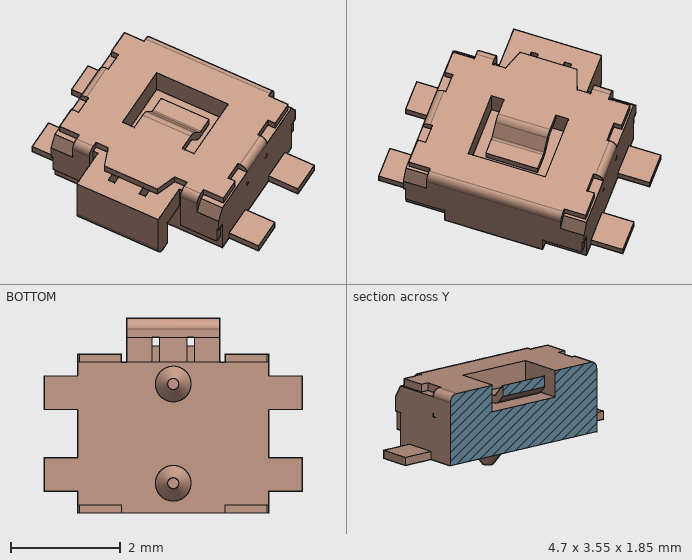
import cadquery as cq
import math


LENGTH = 4.7
BODY_WIDTH = 3.48
DEPTH = 2.895
TOP = 1.35
SHEET = 0.145

BODY_TOP = TOP - SHEET
HALF_WIDTH = BODY_WIDTH / 2
HALF_DEPTH = DEPTH / 2
CORE_HALF_DEPTH = HALF_DEPTH - SHEET

CORNER_INNER_X = 1.292
CORNER_BOTTOM = 0.695
CORNER_CHAMFER_BOTTOM = 0.965

COVER_HALF_WIDTH = 1.7
COVER_BACK_Y = 1.245
COVER_FRONT_Y = -1.2
SIDE_TAB_HALF = 0.375
SIDE_TAB_BOTTOM = 0.822
SIDE_TAB_RADIUS = 0.065
SIDE_RELIEF_HALF = 0.75
SIDE_RELIEF_X = 1.55
END_TAB_INNER_X = 0.945
END_TAB_BOTTOM = 0.345
LIP_ROOT_HALF = 0.69
LIP_TIP_HALF = 0.55
LIP_TIP_Y = -1.6

WINDOW_HALF = 0.743
WINDOW_BACK_Y = 0.725
WINDOW_FRONT_Y = -0.565
POCKET_FLOOR = 0.845
TONGUE_HALF = 0.5
TONGUE_BEND_Y = -0.245
TONGUE_TIP_Y = 0.445
TONGUE_ANGLE = math.radians(48)
TONGUE_OUTER_RADIUS = 0.197
TONGUE_LOWER_RADIUS = 0.065
TONGUE_SLOPE_RUN = 0.19

BUTTON_WIDTH = 1.69
BUTTON_FRONT_Y = -2.1
BUTTON_LEG_Y = -1.75
BUTTON_BOTTOM = 0.1
BUTTON_RADIUS = 0.2
SLOT_X = 0.32
SLOT_WIDTH = 0.13

LEAD_WIDTH = 0.615
LEAD_THICKNESS = 0.155
LEAD_Y = 0.743
PEG_DIAMETER = 0.65
PEG_TIP_DIAMETER = 0.2
PEG_STRAIGHT = 0.2
PEG_LENGTH = 0.505
PEG_Y = 0.902


def block(x0, x1, y0, y1, z0, z1):
    """Box between two opposite corners."""
    return cq.Workplane("XY").box(x1 - x0, y1 - y0, z1 - z0, centered=False).translate((x0, y0, z0))


def turn(solid, angle):
    """Rotate about the vertical axis."""
    return solid.rotate((0, 0, 0), (0, 0, 1), angle)


def extrude_along_x(profile, x0, x1):
    """Extrude a YZ profile, drawn at X = 0, from x0 to x1."""
    return profile.extrude(x1 - x0).translate((x0, 0, 0))


def folded_flap(outer, bottom, x0, x1):
    """Cover sheet folded down over the +Y wall, rounded along the fold."""
    inner = outer - SHEET
    profile = (
        cq.Workplane("YZ")
        .moveTo(inner, bottom)
        .lineTo(outer, bottom)
        .lineTo(outer, BODY_TOP)
        .radiusArc((inner, TOP), -SHEET)
        .close()
    )
    return extrude_along_x(profile, x0, x1)


def make_body():
    core = block(-HALF_WIDTH, HALF_WIDTH, -CORE_HALF_DEPTH, CORE_HALF_DEPTH, 0, BODY_TOP)
    corner_profile = (
        cq.Workplane("YZ")
        .polyline([
            (-HALF_DEPTH, CORNER_BOTTOM),
            (HALF_DEPTH, CORNER_BOTTOM),
            (HALF_DEPTH, CORNER_CHAMFER_BOTTOM),
            (CORE_HALF_DEPTH, BODY_TOP),
            (-CORE_HALF_DEPTH, BODY_TOP),
            (-HALF_DEPTH, CORNER_CHAMFER_BOTTOM),
        ])
        .close()
    )
    corners = extrude_along_x(corner_profile, CORNER_INNER_X, HALF_WIDTH)
    body = core.union(corners).union(turn(corners, 180))

    pocket = block(-WINDOW_HALF, WINDOW_HALF, WINDOW_FRONT_Y, WINDOW_BACK_Y, POCKET_FLOOR, BODY_TOP)
    body = body.cut(pocket)

    recess = block(
        HALF_WIDTH - SHEET, HALF_WIDTH, -SIDE_TAB_HALF, SIDE_TAB_HALF, SIDE_TAB_BOTTOM, BODY_TOP
    )
    return body.cut(recess).cut(turn(recess, 180))


def make_cover_plate():
    fold_x = HALF_WIDTH - SHEET
    right_edge = [
        (CORNER_INNER_X, CORE_HALF_DEPTH),
        (CORNER_INNER_X, COVER_BACK_Y),
        (COVER_HALF_WIDTH, COVER_BACK_Y),
        (COVER_HALF_WIDTH, SIDE_RELIEF_HALF),
        (SIDE_RELIEF_X, SIDE_RELIEF_HALF),
        (SIDE_RELIEF_X, SIDE_TAB_HALF),
        (fold_x, SIDE_TAB_HALF),
        (fold_x, -SIDE_TAB_HALF),
        (SIDE_RELIEF_X, -SIDE_TAB_HALF),
        (SIDE_RELIEF_X, -SIDE_RELIEF_HALF),
        (COVER_HALF_WIDTH, -SIDE_RELIEF_HALF),
        (COVER_HALF_WIDTH, COVER_FRONT_Y),
        (CORNER_INNER_X, COVER_FRONT_Y),
        (CORNER_INNER_X, -CORE_HALF_DEPTH),
        (END_TAB_INNER_X, -CORE_HALF_DEPTH),
        (END_TAB_INNER_X, COVER_FRONT_Y),
        (LIP_ROOT_HALF, COVER_FRONT_Y),
        (LIP_TIP_HALF, LIP_TIP_Y),
    ]
    left_edge = [(-x, y) for x, y in reversed(right_edge)]
    plate = cq.Workplane("XY").polyline(right_edge + left_edge).close().extrude(SHEET)
    window = block(-WINDOW_HALF, WINDOW_HALF, WINDOW_FRONT_Y, WINDOW_BACK_Y, BODY_TOP, TOP)
    return plate.translate((0, 0, BODY_TOP)).cut(window)


def make_end_flaps():
    """Flaps on the back and front walls; the front one is split around the button."""
    feet = block(
        -COVER_HALF_WIDTH, COVER_HALF_WIDTH, CORE_HALF_DEPTH, HALF_DEPTH, END_TAB_BOTTOM, CORNER_BOTTOM
    )
    fold = folded_flap(HALF_DEPTH, CORNER_BOTTOM, -CORNER_INNER_X, CORNER_INNER_X)
    flap = fold.union(feet)

    middle = (-END_TAB_INNER_X, END_TAB_INNER_X, CORE_HALF_DEPTH, HALF_DEPTH)
    back = flap.union(block(*middle, 0, END_TAB_BOTTOM))
    front = turn(flap.cut(block(*middle, 0, TOP)), 180)
    return back.union(front)


def make_side_tabs():
    tab = folded_flap(HALF_WIDTH, SIDE_TAB_BOTTOM, -SIDE_TAB_HALF, SIDE_TAB_HALF)
    tab = tab.faces("<Z").edges("|Y").fillet(SIDE_TAB_RADIUS)
    return turn(tab, 90).union(turn(tab, -90))


def make_tongue():
    """Spring tongue bent down and then level again, of constant thickness."""
    sin_a = math.sin(TONGUE_ANGLE)
    cos_a = math.cos(TONGUE_ANGLE)
    sin_half = math.sin(TONGUE_ANGLE / 2)
    cos_half = math.cos(TONGUE_ANGLE / 2)

    upper_y = TONGUE_BEND_Y
    upper_z = TOP - TONGUE_OUTER_RADIUS
    slope_start_z = upper_z + TONGUE_OUTER_RADIUS * cos_a
    slope_end_y = upper_y + TONGUE_OUTER_RADIUS * sin_a + TONGUE_SLOPE_RUN
    slope_end_z = slope_start_z - TONGUE_SLOPE_RUN * math.tan(TONGUE_ANGLE)
    lower_y = slope_end_y + TONGUE_LOWER_RADIUS * sin_a
    lower_z = slope_end_z + TONGUE_LOWER_RADIUS * cos_a

    def on_upper(radius, sin_t, cos_t):
        return (upper_y + radius * sin_t, upper_z + radius * cos_t)

    def on_lower(radius, sin_t, cos_t):
        return (lower_y - radius * sin_t, lower_z - radius * cos_t)

    top_upper = TONGUE_OUTER_RADIUS
    under_upper = TONGUE_OUTER_RADIUS - SHEET
    top_lower = TONGUE_LOWER_RADIUS
    under_lower = TONGUE_LOWER_RADIUS + SHEET
    profile = (
        cq.Workplane("YZ")
        .moveTo(WINDOW_FRONT_Y, TOP)
        .lineTo(upper_y, TOP)
        .threePointArc(on_upper(top_upper, sin_half, cos_half), on_upper(top_upper, sin_a, cos_a))
        .lineTo(*on_lower(top_lower, sin_a, cos_a))
        .threePointArc(on_lower(top_lower, sin_half, cos_half), on_lower(top_lower, 0, 1))
        .lineTo(TONGUE_TIP_Y, lower_z - top_lower)
        .lineTo(TONGUE_TIP_Y, lower_z - under_lower)
        .lineTo(*on_lower(under_lower, 0, 1))
        .threePointArc(on_lower(under_lower, sin_half, cos_half), on_lower(under_lower, sin_a, cos_a))
        .lineTo(*on_upper(under_upper, sin_a, cos_a))
        .threePointArc(on_upper(under_upper, sin_half, cos_half), on_upper(under_upper, 0, 1))
        .lineTo(WINDOW_FRONT_Y, BODY_TOP)
        .close()
    )
    return extrude_along_x(profile, -TONGUE_HALF, TONGUE_HALF)


def make_button():
    half = BUTTON_WIDTH / 2
    arm = block(-half, half, BUTTON_LEG_Y, -CORE_HALF_DEPTH, CORNER_BOTTOM, BODY_TOP)
    leg = block(-half, half, BUTTON_FRONT_Y, BUTTON_LEG_Y, BUTTON_BOTTOM, BODY_TOP)
    button = arm.union(leg.faces("<Z").edges("<Y").fillet(BUTTON_RADIUS))
    for slot_x in (-SLOT_X, SLOT_X):
        slot = block(
            slot_x - SLOT_WIDTH / 2, slot_x + SLOT_WIDTH / 2,
            BUTTON_LEG_Y, -CORE_HALF_DEPTH, CORNER_BOTTOM, BODY_TOP,
        )
        button = button.cut(slot)
    return button


def make_leads():
    half = LEAD_WIDTH / 2
    leads = cq.Workplane("XY")
    for lead_y in (-LEAD_Y, LEAD_Y):
        lead = block(HALF_WIDTH, LENGTH / 2, lead_y - half, lead_y + half, 0, LEAD_THICKNESS)
        leads = leads.union(lead).union(turn(lead, 180))
    return leads


def make_pegs():
    radius = PEG_DIAMETER / 2
    peg = (
        cq.Workplane("XZ")
        .polyline([
            (0, 0),
            (radius, 0),
            (radius, -PEG_STRAIGHT),
            (PEG_TIP_DIAMETER / 2, -PEG_LENGTH),
            (0, -PEG_LENGTH),
        ])
        .close()
        .revolve(360, (0, 0, 0), (0, 1, 0))
    )
    return peg.translate((0, PEG_Y, 0)).union(peg.translate((0, -PEG_Y, 0)))


result = make_body()
for piece in (
    make_cover_plate(),
    make_end_flaps(),
    make_side_tabs(),
    make_tongue(),
    make_button(),
    make_leads(),
    make_pegs(),
):
    result = result.union(piece)